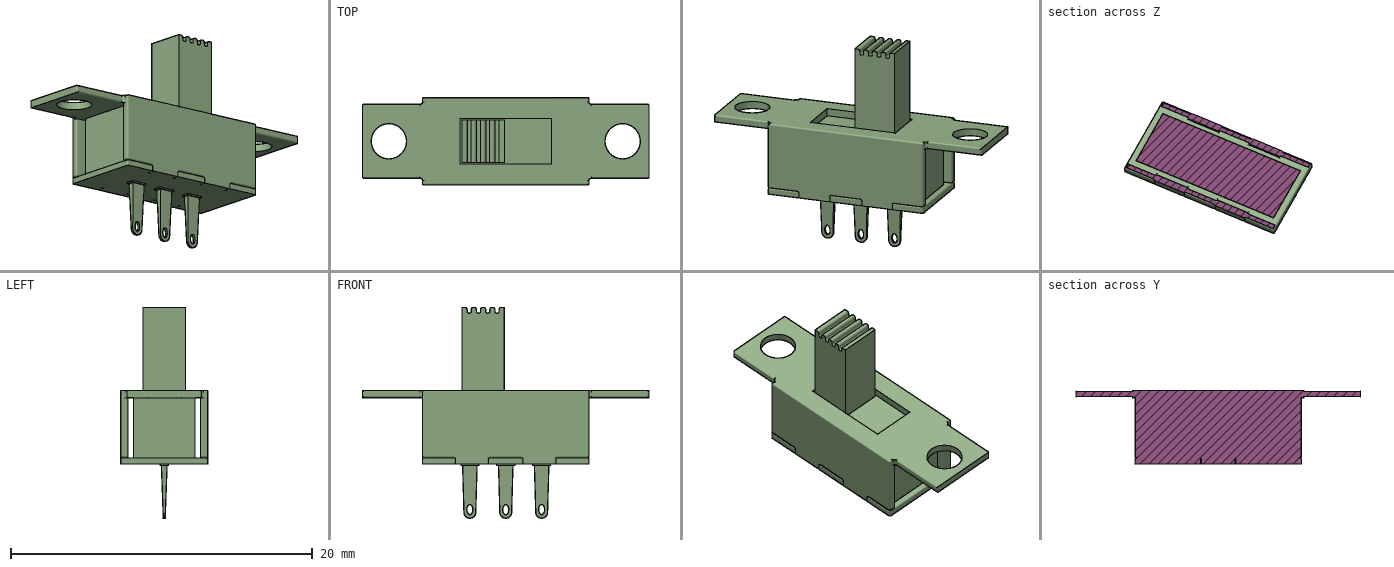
import cadquery as cq

body_length = 11.05
body_width = 5.8
body_height = 4.9
sheet = 0.5
base_thickness = 0.42
edge_round = 0.1
corner_radius = 0.12

ear_span = 19.0
ear_width = 4.92
ear_hole_diameter = 2.32
ear_hole_spacing = 15.5
ear_root_radius = 0.15

middle_tab_length = 2.28
end_tab_length = 2.2

block_length = 10.15
block_width = 4.08

slot_length = 6.04
slot_width = 3.04
slider_size = 2.82
slider_gap = (slot_width - slider_size) / 2
slider_rise = 5.5

groove_count = 4
groove_pitch = 0.615
groove_width = 0.26
groove_depth = 0.38
groove_floor_radius = 0.1
groove_lip_radius = 0.15

terminal_count = 3
terminal_pitch = 2.38
terminal_length = 3.59
terminal_root_width = 0.98
terminal_tip_width = 0.8
terminal_root_thickness = 0.4
terminal_tip_thickness = 0.14
eye_length = 0.66
eye_width = 0.38
eye_depth_below_base = 3.01
flange_length = 1.2
flange_width = 0.55
flange_thickness = 0.1

half_length = body_length / 2
plate_bottom = body_height - sheet
inner_width = body_width - 2 * sheet
tab_spans = (
    (-half_length, -half_length + end_tab_length),
    (-middle_tab_length / 2, middle_tab_length / 2),
    (half_length - end_tab_length, half_length),
)


def box(length, width, height, x=0.0, y=0.0, z=0.0):
    """Box centred on x and y, standing on z."""
    block = cq.Workplane("XY").box(length, width, height, centered=(True, True, False))
    return block.translate((x, y, z))


def centred_row(count, pitch):
    """Evenly spaced positions, symmetric about zero."""
    return [(i - (count - 1) / 2) * pitch for i in range(count)]


def both_sides(shape, plane):
    """The shape together with its mirror image."""
    return shape.union(shape.mirror(plane))


def make_wall():
    """Side wall at -Y, cut out along its foot for three tabs, with rounded edges."""
    wall = box(body_length, sheet, body_height, y=(sheet - body_width) / 2)
    for start, end in tab_spans:
        wall = wall.cut(box(end - start, body_width, base_thickness, x=(start + end) / 2))
    corners = wall.edges(cq.selectors.BoxSelector(
        (-body_length, -body_width, base_thickness / 2 + edge_round),
        (body_length, body_width, body_height + edge_round),
    )).edges("|Y")
    wall = corners.fillet(corner_radius)
    outer_edges = wall.faces("<Y").edges("not(<Z)")
    wall = outer_edges.fillet(edge_round)
    inner_edges = wall.faces(">Y").edges("not(<Z or >Z)")
    return inner_edges.fillet(edge_round)


def make_ears():
    """Full-length plate whose long side faces are rounded all the way round."""
    plate = box(ear_span, ear_width, sheet, z=plate_bottom)
    return plate.faces("<Y or >Y").edges().fillet(edge_round)


def make_ear_root():
    """Concave fillet where the ear edge meets the wall end, at the +X -Y corner."""
    inset = sheet / 2
    edge_y = -ear_width / 2
    return (
        cq.Workplane("XY", origin=(0, 0, plate_bottom))
        .moveTo(half_length - inset, edge_y + inset)
        .lineTo(half_length + ear_root_radius, edge_y + inset)
        .lineTo(half_length + ear_root_radius, edge_y)
        .radiusArc((half_length, edge_y - ear_root_radius), -ear_root_radius)
        .lineTo(half_length - inset, edge_y - ear_root_radius)
        .close()
        .extrude(sheet)
    )


def make_cover():
    """Top plate with ears, walls, mounting holes and the slider slot."""
    top_plate = box(body_length, ear_width + 2 * ear_root_radius, sheet, z=plate_bottom)
    roots = both_sides(both_sides(make_ear_root(), "YZ"), "XZ")
    cover = make_ears().union(top_plate).union(roots).union(both_sides(make_wall(), "XZ"))
    holes = (
        cq.Workplane("XY", origin=(0, 0, plate_bottom))
        .pushPoints([(-ear_hole_spacing / 2, 0), (ear_hole_spacing / 2, 0)])
        .circle(ear_hole_diameter / 2)
        .extrude(sheet)
    )
    slot = box(slot_length, slot_width, sheet, z=plate_bottom)
    return cover.cut(holes).cut(slot)


def make_base():
    """Base plate whose rounded tabs reach the outer faces of the walls."""
    base = box(body_length, inner_width, base_thickness)
    for start, end in tab_spans:
        base = base.union(box(end - start, body_width, base_thickness, x=(start + end) / 2))
    tab_sides = base.faces("<Y or >Y").edges("|Z")
    base = tab_sides.fillet(edge_round)
    return base.faces(">Z").edges().fillet(edge_round)


def make_block():
    """Insulating block that fills the height between base and top plate."""
    return box(block_length, block_width, plate_bottom - base_thickness, z=base_thickness)


def make_slider():
    """Square slider with rounded grip grooves running along Y."""
    slider_x = -slot_length / 2 + slider_gap + slider_size / 2
    slider_top = body_height + slider_rise
    slider = box(slider_size, slider_size, slider_top - plate_bottom, x=slider_x, z=plate_bottom)
    for offset in centred_row(groove_count, groove_pitch):
        groove_x = slider_x + offset
        groove = box(groove_width, slider_size, groove_depth, x=groove_x, z=slider_top - groove_depth)
        slider = slider.cut(groove.faces("<Z").edges("|Y").fillet(groove_floor_radius))
    lips = slider.faces(">Z").edges("|Y").edges(cq.selectors.BoxSelector(
        (slider_x - slider_size / 2 + groove_lip_radius, -slider_size, plate_bottom),
        (slider_x + slider_size / 2 - groove_lip_radius, slider_size, slider_top + groove_depth),
    ))
    return lips.fillet(groove_lip_radius)


def make_terminal():
    """Terminal hanging from the underside of the base, tapered in width and thickness."""
    tip_radius = terminal_tip_width / 2
    tip_centre = tip_radius - terminal_length
    face = (
        cq.Workplane("XZ")
        .moveTo(-terminal_root_width / 2, 0)
        .lineTo(terminal_root_width / 2, 0)
        .lineTo(tip_radius, tip_centre)
        .threePointArc((0, -terminal_length), (-tip_radius, tip_centre))
        .close()
        .extrude(terminal_root_thickness, both=True)
    )
    taper = (
        cq.Workplane("YZ")
        .moveTo(-terminal_root_thickness / 2, 0)
        .lineTo(terminal_root_thickness / 2, 0)
        .lineTo(terminal_tip_thickness / 2, -terminal_length)
        .lineTo(-terminal_tip_thickness / 2, -terminal_length)
        .close()
        .extrude(terminal_root_width, both=True)
    )
    eye = (
        cq.Workplane("XZ", origin=(0, 0, -eye_depth_below_base))
        .ellipse(eye_width / 2, eye_length / 2)
        .extrude(terminal_root_thickness, both=True)
    )
    flange = box(flange_length, flange_width, flange_thickness, z=-flange_thickness)
    return face.intersect(taper).cut(eye).union(flange)


result = make_cover().union(make_base()).union(make_block()).union(make_slider())
for terminal_x in centred_row(terminal_count, terminal_pitch):
    result = result.union(make_terminal().translate((terminal_x, 0, 0)))